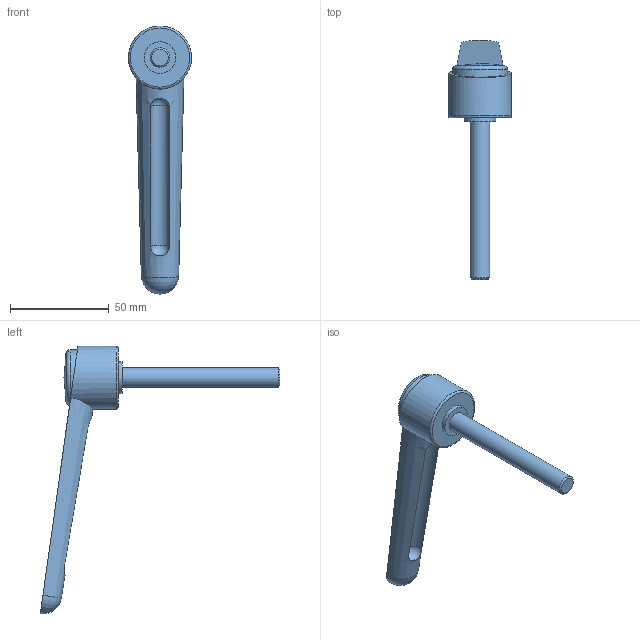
import cadquery as cq
import math


eighth_turn = math.pi / 4

rod_radius = 5.0
rod_length = 80.0
rod_chamfer = 0.8
collar_radius = 8.0
collar_height = 2.0

hub_radius = 16.0
hub_edge_fillet = 1.0

cap_radius = 14.0
cap_base_y = 10.0
cap_edge_y = 28.4
cap_dome_height = 1.1
cap_round_width = 1.4
cap_round_height = 2.0

lever_tilt = 8.0
back_plane_y = 24.64
lever_length = 121.11
tip_radius = 9.5
lever_taper = 1.5
cone_length = lever_length - tip_radius
taper_slope = math.tan(math.radians(lever_taper))
root_radius = tip_radius + cone_length * taper_slope

groove_radius = 4.7
groove_start = 23.7
groove_length = 72.0
groove_axis_depth = 1.1

tilt = math.radians(lever_tilt)
lever_plane = cq.Plane(
    origin=(0, back_plane_y, 0),
    xDir=(1, 0, 0),
    normal=(0, math.sin(tilt), -math.cos(tilt)),
)


def cylinder_along_y(radius, start_y, end_y):
    return cq.Workplane("XZ", origin=(0, start_y, 0)).circle(radius).extrude(start_y - end_y)


def make_shank():
    rod = cylinder_along_y(rod_radius, -rod_length, collar_height)
    rod = rod.faces("<Y").chamfer(rod_chamfer)
    collar = cylinder_along_y(collar_radius, 0, collar_height)
    return rod.union(collar)


def make_hub():
    hub = cylinder_along_y(hub_radius, collar_height, cap_edge_y)
    hub = hub.faces("<Y").edges().fillet(hub_edge_fillet)
    block_size = 4 * hub_radius
    behind = cq.Workplane("XY").box(block_size, block_size, block_size, centered=(True, False, True))
    behind = behind.rotate((0, 0, 0), (1, 0, 0), lever_tilt).translate((0, back_plane_y, 0))
    return hub.cut(behind)


def make_cap():
    rim_radius = cap_radius - cap_round_width
    dome_radius = (rim_radius**2 + cap_dome_height**2) / (2 * cap_dome_height)
    apex_y = cap_edge_y + cap_dome_height
    mid_radius = rim_radius / 2
    mid_y = apex_y - dome_radius + math.sqrt(dome_radius**2 - mid_radius**2)
    round_mid_radius = rim_radius + cap_round_width * math.sin(eighth_turn)
    round_mid_y = cap_edge_y - cap_round_height * (1 - math.cos(eighth_turn))
    profile = (
        cq.Workplane("XY")
        .moveTo(0, cap_base_y)
        .lineTo(cap_radius, cap_base_y)
        .lineTo(cap_radius, cap_edge_y - cap_round_height)
        .threePointArc((round_mid_radius, round_mid_y), (rim_radius, cap_edge_y))
        .threePointArc((mid_radius, mid_y), (0, apex_y))
        .close()
    )
    return profile.revolve(360, (0, 0, 0), (0, 1, 0))


def make_lever():
    diagonal = tip_radius * math.sin(eighth_turn)
    profile = (
        cq.Workplane("XZ")
        .lineTo(root_radius, 0)
        .lineTo(tip_radius, cone_length)
        .threePointArc((diagonal, cone_length + diagonal), (0, lever_length))
        .close()
    )
    body = profile.revolve(360, (0, 0, 0), (0, 1, 0))
    front_half = cq.Workplane("XY").box(
        2 * root_radius, root_radius, lever_length, centered=(True, False, False)
    )
    return body.intersect(front_half).cut(make_groove())


def make_groove():
    arc_offset = groove_radius * math.sin(eighth_turn)
    half_profile = (
        cq.Workplane("XZ")
        .moveTo(0, -groove_radius)
        .threePointArc((arc_offset, -arc_offset), (groove_radius, 0))
        .lineTo(groove_radius, groove_length)
        .threePointArc((arc_offset, groove_length + arc_offset), (0, groove_length + groove_radius))
        .close()
    )
    capsule = half_profile.revolve(360, (0, 0, 0), (0, 1, 0))
    axis_height = root_radius - groove_start * taper_slope - groove_axis_depth
    capsule = capsule.rotate((0, 0, 0), (1, 0, 0), lever_taper)
    return capsule.translate((0, axis_height, groove_start))


lever = cq.Workplane(obj=make_lever().val().moved(cq.Location(lever_plane)))
result = make_hub().union(lever).union(make_cap()).union(make_shank())